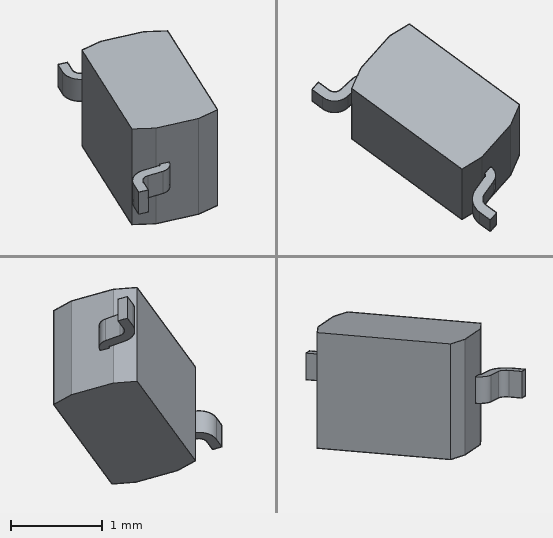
import cadquery as cq
import math

housing_length = 1.7
housing_depth = 1.0
housing_height = 1.3
bevel_x = 0.078
bevel_y = 0.25

overall_length = 2.5
lead_width = 0.3
lead_thickness = 0.112
lead_drop = 0.1
lead_rise = 0.505
foot_length = 0.15
foot_inner_radius = 0.095
shoulder_outer_radius = 0.138
shoulder_inner_radius = 0.01

foot_outer_radius = foot_inner_radius + lead_thickness
foot_tip_x = -overall_length / 2
foot_bottom_y = -housing_depth / 2 - lead_drop
housing_end_x = -housing_length / 2
foot_center = (foot_tip_x + foot_length, foot_bottom_y + foot_outer_radius)
shoulder_center = (housing_end_x, foot_bottom_y + lead_rise - shoulder_outer_radius)

center_dx = shoulder_center[0] - foot_center[0]
center_dy = shoulder_center[1] - foot_center[1]
radius_sum = foot_inner_radius + shoulder_outer_radius
web_lean = math.degrees(
    math.acos(radius_sum / math.hypot(center_dx, center_dy)) - math.atan2(center_dy, center_dx)
)

radius_reduction = shoulder_outer_radius - lead_thickness - shoulder_inner_radius
inner_shoulder_center = (
    shoulder_center[0] - radius_reduction * math.tan(math.radians(45 - web_lean / 2)),
    shoulder_center[1] + radius_reduction,
)

foot_start = -90.0
foot_end = -web_lean
foot_middle = (foot_start + foot_end) / 2
shoulder_start = 180.0 - web_lean
shoulder_end = 90.0
shoulder_middle = (shoulder_start + shoulder_end) / 2


def point_on_arc(center, radius, angle):
    """Point at the given radius and angle (degrees) around a centre."""
    turn = math.radians(angle)
    return (center[0] + radius * math.cos(turn), center[1] + radius * math.sin(turn))


def make_housing():
    half_length = housing_length / 2
    half_depth = housing_depth / 2
    face_half_length = half_length - bevel_x
    end_half_depth = half_depth - bevel_y
    return (
        cq.Workplane("XY")
        .moveTo(-face_half_length, -half_depth)
        .lineTo(face_half_length, -half_depth)
        .lineTo(half_length, -end_half_depth)
        .lineTo(half_length, end_half_depth)
        .lineTo(face_half_length, half_depth)
        .lineTo(-face_half_length, half_depth)
        .lineTo(-half_length, end_half_depth)
        .lineTo(-half_length, -end_half_depth)
        .close()
        .extrude(housing_height / 2, both=True)
    )


def make_lead():
    """Lead on the -X end: foot, leaning web and a shoulder that meets the housing."""
    return (
        cq.Workplane("XY")
        .moveTo(foot_tip_x, foot_bottom_y)
        .lineTo(*point_on_arc(foot_center, foot_outer_radius, foot_start))
        .threePointArc(
            point_on_arc(foot_center, foot_outer_radius, foot_middle),
            point_on_arc(foot_center, foot_outer_radius, foot_end),
        )
        .lineTo(*point_on_arc(inner_shoulder_center, shoulder_inner_radius, shoulder_start))
        .threePointArc(
            point_on_arc(inner_shoulder_center, shoulder_inner_radius, shoulder_middle),
            point_on_arc(inner_shoulder_center, shoulder_inner_radius, shoulder_end),
        )
        .lineTo(housing_end_x, shoulder_center[1] + shoulder_outer_radius - lead_thickness)
        .lineTo(housing_end_x, shoulder_center[1] + shoulder_outer_radius)
        .threePointArc(
            point_on_arc(shoulder_center, shoulder_outer_radius, shoulder_middle),
            point_on_arc(shoulder_center, shoulder_outer_radius, shoulder_start),
        )
        .lineTo(*point_on_arc(foot_center, foot_inner_radius, foot_end))
        .threePointArc(
            point_on_arc(foot_center, foot_inner_radius, foot_middle),
            point_on_arc(foot_center, foot_inner_radius, foot_start),
        )
        .lineTo(foot_tip_x, foot_bottom_y + lead_thickness)
        .close()
        .extrude(lead_width / 2, both=True)
    )


housing = make_housing()
leads = [make_lead().rotate((0, 0, 0), (0, 1, 0), turn) for turn in (0, 180)]

result = cq.Compound.makeCompound([housing.val(), *[lead.val() for lead in leads]])